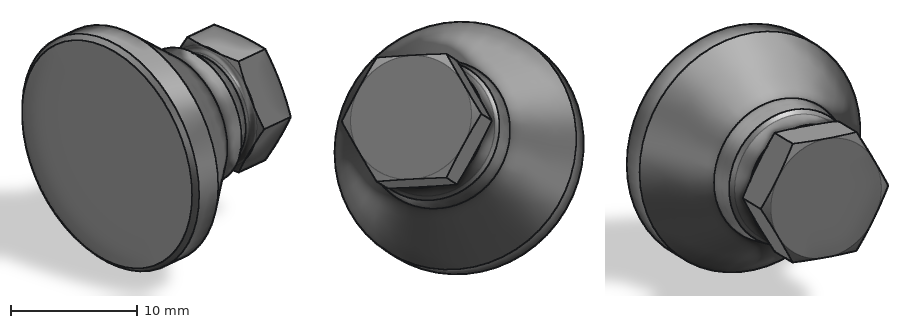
import cadquery as cq
import math

foot_radius = 10.0
foot_chamfer = 0.4
rim_end = 2.52
cone_end = 7.5
collar_base_radius = 6.0
collar_top_radius = 5.68
collar_end = 9.4
shoulder_radius = 5.35
shoulder_end = 9.68

neck_radius = 4.65
neck_start = 10.85
neck_fillet = 0.45

total_height = 15.0
hex_across_flats = 10.0
hex_start = 11.65
hex_chamfer_angle = 15.0
hex_corner_radius = hex_across_flats / math.sqrt(3)


def turned_body():
    """Foot, collar and neck, revolved about the Y axis."""
    fillet_start = hex_start - neck_fillet
    fillet_end_radius = neck_radius + neck_fillet
    fillet_mid_offset = neck_fillet * math.sqrt(0.5)
    profile = (
        cq.Workplane("XY")
        .moveTo(0, 0)
        .lineTo(foot_radius - foot_chamfer, 0)
        .lineTo(foot_radius, foot_chamfer)
        .lineTo(foot_radius, rim_end)
        .lineTo(collar_base_radius, cone_end)
        .lineTo(collar_top_radius, collar_end)
        .lineTo(shoulder_radius, shoulder_end)
        .lineTo(neck_radius, neck_start)
        .lineTo(neck_radius, fillet_start)
        .threePointArc(
            (fillet_end_radius - fillet_mid_offset, fillet_start + fillet_mid_offset),
            (fillet_end_radius, hex_start),
        )
        .lineTo(0, hex_start)
        .close()
    )
    return profile.revolve(360, (0, 0, 0), (0, 1, 0))


def hex_head():
    """Hexagon with corners on the X axis and both ends turned to a shallow cone."""
    prism = (
        cq.Workplane("XZ", origin=(0, hex_start, 0))
        .polygon(6, 2 * hex_corner_radius)
        .extrude(hex_start - total_height)
    )
    lower_radius = neck_radius + neck_fillet
    upper_radius = hex_across_flats / 2
    slope = math.tan(math.radians(hex_chamfer_angle))
    lower_drop = (hex_corner_radius - lower_radius) * slope
    upper_drop = (hex_corner_radius - upper_radius) * slope
    envelope = (
        cq.Workplane("XY")
        .moveTo(0, hex_start)
        .lineTo(lower_radius, hex_start)
        .lineTo(hex_corner_radius, hex_start + lower_drop)
        .lineTo(hex_corner_radius, total_height - upper_drop)
        .lineTo(upper_radius, total_height)
        .lineTo(0, total_height)
        .close()
        .revolve(360, (0, 0, 0), (0, 1, 0))
    )
    return prism.intersect(envelope)


result = turned_body().union(hex_head())